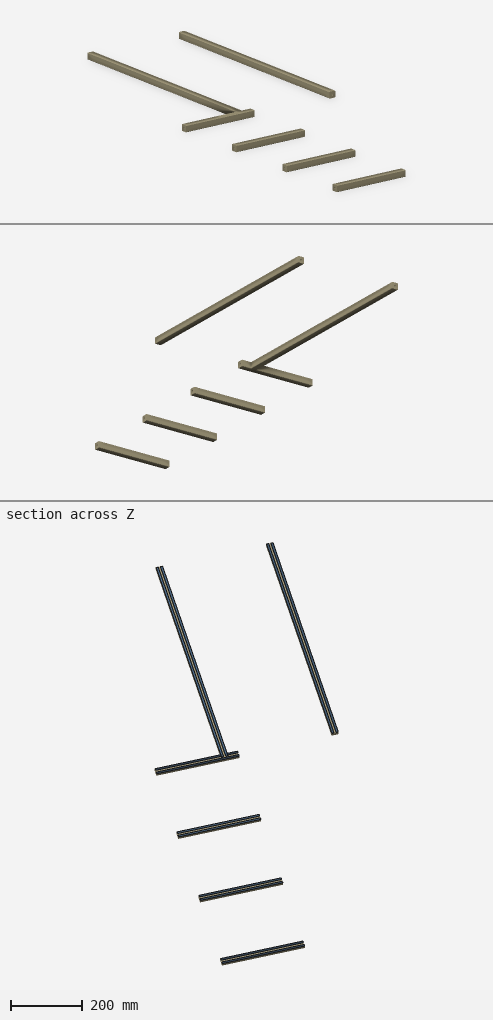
import cadquery as cq

bar_width = 20.0
corner_chamfer = 1.0
bore_diameter = 5.0

rail_length = 700.0
joined_rail_y = 200.0
outer_rail_y = 520.0

post_length = 240.0
post_count = 4
post_pitch = rail_length / (post_count - 1)


def chamfered_bar(length):
    """Solid bar with its bottom end on the XY plane and chamfered long edges."""
    return (
        cq.Workplane("XY")
        .rect(bar_width, bar_width)
        .extrude(length)
        .edges("|Z")
        .chamfer(corner_chamfer)
    )


def bored_bar(length):
    """Chamfered bar with the bore through its whole length."""
    return chamfered_bar(length).faces(">Z").workplane().hole(bore_diameter)


def lay_along_x(bar, y):
    return bar.rotate((0, 0, 0), (0, 1, 0), 90).translate((0, y, 0))


def lay_along_y(bar, x):
    return bar.rotate((0, 0, 0), (1, 0, 0), -90).translate((x, 0, 0))


def make_rail(y):
    return lay_along_x(bored_bar(rail_length), y)


def make_post(index):
    """Post at an even pitch from the rail end, placed to the nearest millimetre."""
    return lay_along_y(bored_bar(post_length), round(rail_length + index * post_pitch))


rails = [make_rail(y) for y in (joined_rail_y, outer_rail_y)]
posts = [make_post(index) for index in range(post_count)]

rail_envelope = lay_along_x(chamfered_bar(rail_length), joined_rail_y)
posts[0] = posts[0].cut(rail_envelope)

result = cq.Compound.makeCompound([bar.solids().val() for bar in rails + posts])